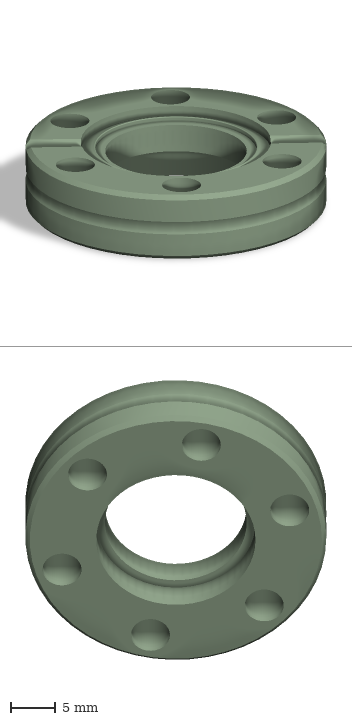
import cadquery as cq
import math

outer_radius = 17.0
thickness = 7.75
rim_chamfer = 0.5

rim_groove_width = 1.5
rim_groove_radius = 1.5

bolt_count = 6
bolt_circle_radius = 13.5
bolt_hole_diameter = 4.4

recess_radius = 10.75
recess_depth = 1.2
recess_floor_slope = 20.0
knife_inner_radius = 9.125
knife_tip_radius = 0.1
inner_ledge_depth = 1.2

bore_radius = 8.0
socket_radius = 9.0
bore_depth = 4.4

channel_width = 2.4
channel_depth = 0.6
channel_angle = 30.0


def point_on_arc(center, radius, angle):
    """Point at an angle in degrees on a circle in the half-section."""
    x, z = center
    turn = math.radians(angle)
    return (x + radius * math.cos(turn), z + radius * math.sin(turn))


def flange_body():
    """Revolved half-section with all coaxial steps, including the knife edge and rim groove."""
    middle = thickness / 2
    socket_top = thickness - bore_depth
    ledge_z = thickness - inner_ledge_depth
    floor_z = thickness - recess_depth

    groove_bottom = middle - rim_groove_width / 2
    groove_top = middle + rim_groove_width / 2
    groove_center_offset = math.sqrt(rim_groove_radius ** 2 - (rim_groove_width / 2) ** 2)
    groove_floor_radius = outer_radius + groove_center_offset - rim_groove_radius

    floor_normal = 90 - recess_floor_slope
    wall_normal = 180
    slope = math.radians(recess_floor_slope)
    tip_r = knife_inner_radius + knife_tip_radius
    tip_z = floor_z + (recess_radius - tip_r) * math.tan(slope) - knife_tip_radius / math.cos(slope)
    tip_center = (tip_r, tip_z)
    tip_start = point_on_arc(tip_center, knife_tip_radius, floor_normal)
    tip_middle = point_on_arc(tip_center, knife_tip_radius, (floor_normal + wall_normal) / 2)
    tip_end = point_on_arc(tip_center, knife_tip_radius, wall_normal)

    profile = (
        cq.Workplane("XZ")
        .moveTo(socket_radius, 0)
        .lineTo(outer_radius - rim_chamfer, 0)
        .lineTo(outer_radius, rim_chamfer)
        .lineTo(outer_radius, groove_bottom)
        .threePointArc((groove_floor_radius, middle), (outer_radius, groove_top))
        .lineTo(outer_radius, thickness - rim_chamfer)
        .lineTo(outer_radius - rim_chamfer, thickness)
        .lineTo(recess_radius, thickness)
        .lineTo(recess_radius, floor_z)
        .lineTo(*tip_start)
        .threePointArc(tip_middle, tip_end)
        .lineTo(knife_inner_radius, ledge_z)
        .lineTo(bore_radius, ledge_z)
        .lineTo(bore_radius, socket_top)
        .lineTo(socket_radius, socket_top)
        .close()
    )
    return profile.revolve(360, (0, 0, 0), (0, 1, 0))


def bolt_holes():
    """Through holes evenly spaced on the bolt circle, the first on the X axis."""
    return (
        cq.Workplane("XY")
        .polarArray(bolt_circle_radius, 0, 360, bolt_count)
        .circle(bolt_hole_diameter / 2)
        .extrude(thickness)
    )


def leak_channel(angle):
    """Round-bottomed radial channel from the seal recess out through the rim."""
    channel_radius = ((channel_width / 2) ** 2 + channel_depth ** 2) / (2 * channel_depth)
    axis_z = thickness - channel_depth + channel_radius
    start_radius = math.sqrt(recess_radius ** 2 - (channel_width / 2) ** 2)
    return (
        cq.Workplane("YZ", origin=(start_radius, 0, 0))
        .center(0, axis_z)
        .circle(channel_radius)
        .extrude(outer_radius)
        .rotate((0, 0, 0), (0, 0, 1), angle)
    )


result = flange_body().cut(bolt_holes())
for angle in (channel_angle, channel_angle + 180):
    result = result.cut(leak_channel(angle))